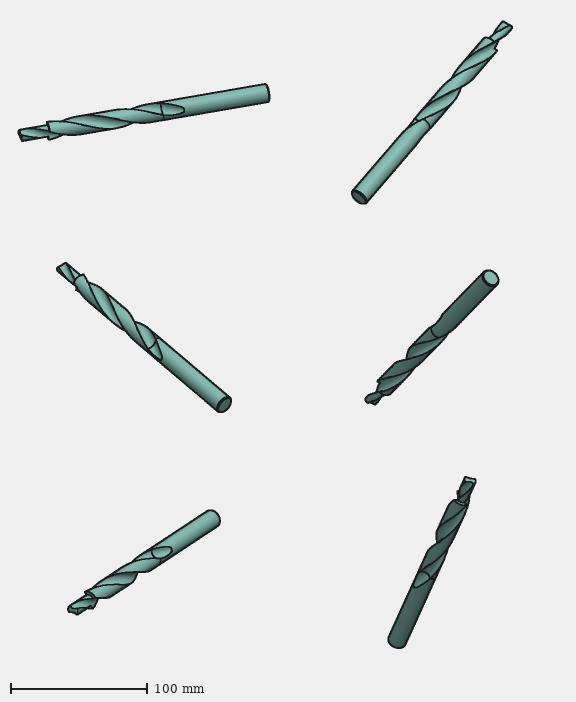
import cadquery as cq
import math

LENGTH = 188.5
DIAMETER = 13.5
SHANK_CHAMFER = 0.8

JOINT_Y = 107.6
STEP_Y = 21.3
PILOT_DIAMETER = 8.7
TIP_RADIUS = 4.5

FLUTE_COUNT = 2
FLUTE_PITCH = 106.7
FLUTE_RADIUS = 4.9
FLUTE_OFFSET = 6.6
FLUTE_UPRIGHT_Y = 97.0
UPRIGHT_ANGLE = 90.0
RUNOUT_LENGTH = 15.6
RUNOUT_RISE = 3.0


def y_cylinder(diameter, start, end):
    """Cylinder on the Y axis from start to end."""
    base = cq.Plane(origin=(0, start, 0), xDir=(1, 0, 0), normal=(0, 1, 0))
    return cq.Workplane(base).circle(diameter / 2).extrude(end - start)


def flute_angle(y):
    """Flute direction at y, in degrees from +X toward +Z."""
    return UPRIGHT_ANGLE - 360.0 * (y - FLUTE_UPRIGHT_Y) / FLUTE_PITCH


def flute_section(y, angle):
    """Flute circle in the plane normal to Y, centred at the given angle."""
    turn = math.radians(angle)
    section_plane = cq.Plane(origin=(0, y, 0), xDir=(math.cos(turn), 0, math.sin(turn)), normal=(0, 1, 0))
    return cq.Workplane(section_plane).pushPoints([(FLUTE_OFFSET, 0)]).circle(FLUTE_RADIUS)


PILOT_TWIST = 360.0 + UPRIGHT_ANGLE - flute_angle(STEP_Y)


def helical_flute(start, end, start_angle, twist):
    """Flute cutter from start to end that turns by twist degrees."""
    return flute_section(start, start_angle).twistExtrude(end - start, twist)


def flute_runout(phase):
    """Straight cutter that leaves the helix along its tangent and rises out of the shank."""
    angle = flute_angle(JOINT_Y) + phase
    turn = math.radians(angle)
    tangential = RUNOUT_LENGTH * 2 * math.pi * FLUTE_OFFSET / FLUTE_PITCH
    path = cq.Vector(
        RUNOUT_RISE * math.cos(turn) + tangential * math.sin(turn),
        RUNOUT_LENGTH,
        RUNOUT_RISE * math.sin(turn) - tangential * math.cos(turn),
    )
    outline = flute_section(JOINT_Y, angle).wires().val()
    return cq.Workplane(cq.Solid.extrudeLinear(outline, [], path))


def make_shank():
    """Plain shank with a chamfered end and the flute run-outs."""
    shank = y_cylinder(DIAMETER, JOINT_Y, LENGTH).faces(">Y").chamfer(SHANK_CHAMFER)
    for index in range(FLUTE_COUNT):
        shank = shank.cut(flute_runout(index * 360.0 / FLUTE_COUNT))
    return shank


def make_cutter():
    """Fluted stepped cutter whose tip is rounded about X."""
    pilot = y_cylinder(PILOT_DIAMETER, 0, STEP_Y)
    rounded_tip = (
        cq.Workplane("YZ")
        .moveTo(TIP_RADIUS, -TIP_RADIUS)
        .threePointArc((0, 0), (TIP_RADIUS, TIP_RADIUS))
        .lineTo(STEP_Y, TIP_RADIUS)
        .lineTo(STEP_Y, -TIP_RADIUS)
        .close()
        .extrude(PILOT_DIAMETER, both=True)
    )
    pilot = pilot.intersect(rounded_tip)
    body = y_cylinder(DIAMETER, STEP_Y, JOINT_Y)
    body_twist = flute_angle(STEP_Y) - flute_angle(JOINT_Y)
    for index in range(FLUTE_COUNT):
        phase = index * 360.0 / FLUTE_COUNT
        pilot = pilot.cut(helical_flute(0, STEP_Y, UPRIGHT_ANGLE + phase, PILOT_TWIST))
        body = body.cut(helical_flute(STEP_Y, JOINT_Y, flute_angle(STEP_Y) + phase, body_twist))
    return body.union(pilot)


shank = make_shank()
cutter = make_cutter()
result = cq.Compound.makeCompound([shank.solids().val(), cutter.solids().val()])